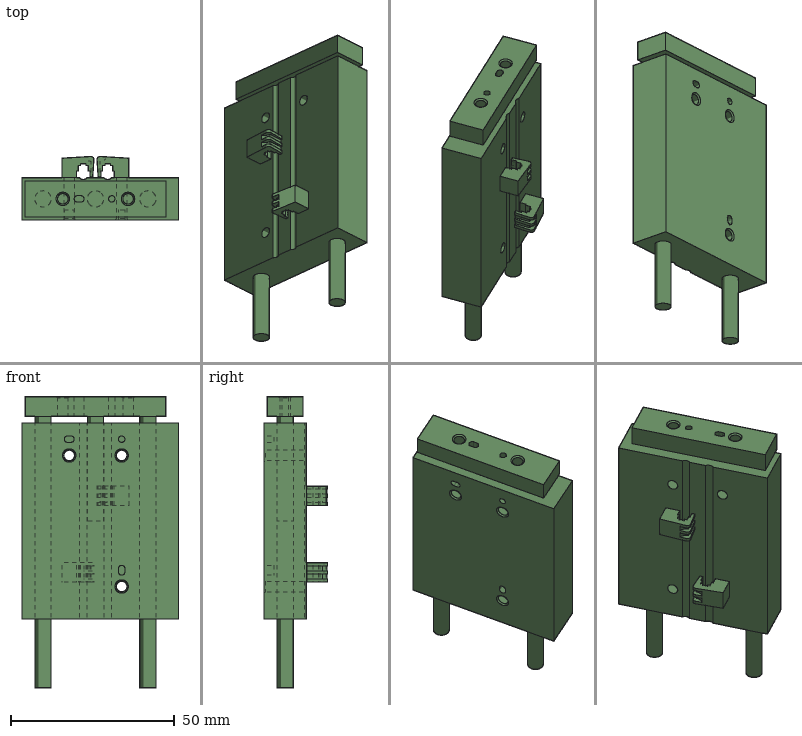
import cadquery as cq


HOUSING_LEFT = 22.5
HOUSING_RIGHT = 25.45
HOUSING_DEPTH = 13.0
HOUSING_HEIGHT = 60.0
BACK_Y = HOUSING_DEPTH / 2
FRONT_Y = -HOUSING_DEPTH / 2

ROD_DIAMETER = 5.0
GUIDE_SPACING = 32.0
GUIDE_PROTRUSION = 21.0
PISTON_INSERTION = 30.0
PLATE_WIDTH = 43.0
PLATE_DEPTH = 11.0
PLATE_THICKNESS = 6.05
OVERALL_HEIGHT = 89.0
PLATE_TOP_Z = OVERALL_HEIGHT - GUIDE_PROTRUSION
PLATE_BOTTOM_Z = PLATE_TOP_Z - PLATE_THICKNESS

SCREW_DIAMETER = 3.2
SCREW_MOUTH_DIAMETER = 4.1
SCREW_CHAMFER = (SCREW_MOUTH_DIAMETER - SCREW_DIAMETER) / 2
DOWEL_DIAMETER = 2.0
DOWEL_SLOT_LENGTH = 3.0
DOWEL_DEPTH = 3.0
PLATE_SCREW_X = 10.0
PLATE_DOWEL_X = PLATE_SCREW_X / 2
HOUSING_SCREW_X = 8.0
SCREW_UPPER_Z = HOUSING_HEIGHT - 10.0
SCREW_LOWER_Z = HOUSING_HEIGHT - 50.0
DOWEL_ABOVE_SCREW = 5.0

CLIP_REACH = 6.5
CLIP_OUTER_HEIGHT = 6.0
CLIP_OUTER_X = 10.2
LIP_FOOT_X = 0.8
LIP_CLEARANCE = 0.2
LIP_NOSE_X = 0.45
LIP_NOSE_HEIGHT = 5.4
LIP_CREST_X = 1.4
TOOTH_WIDTH = 1.0
NOTCH_WIDTH = 1.5
NOTCH_COUNT = 2
CLIP_LENGTH = (NOTCH_COUNT + 1) * TOOTH_WIDTH + NOTCH_COUNT * NOTCH_WIDTH
NOTCH_WALL_X = 1.3
NOTCH_FLOOR_HEIGHT = 5.0
NOTCH_RADIUS = 2.5
RIGHT_CLIP_Z = HOUSING_HEIGHT - 19.3 - CLIP_LENGTH
LEFT_CLIP_Z = HOUSING_HEIGHT - 42.7 - CLIP_LENGTH

CHANNEL_X = 3.7
CHANNEL_WIDTH = 4.0
CHANNEL_SHOULDER = 2.0
CHANNEL_NECK_WIDTH = 3.0
CHANNEL_NECK_TOP = 3.65
CHANNEL_CROWN_WIDTH = 1.6
CHANNEL_TOP = 4.2
GROOVE_DIAMETER = 3.2
GROOVE_DEPTH = 0.5


def rod(x, bottom_z, top_z):
    """Round bar parallel to Z, used for the rods and for their bores."""
    return (
        cq.Workplane("XY", origin=(x, 0, bottom_z))
        .circle(ROD_DIAMETER / 2)
        .extrude(top_z - bottom_z)
    )


def guide_rod(x):
    """Guide rod from below the housing up to the underside of the end plate."""
    return rod(x, -GUIDE_PROTRUSION, PLATE_BOTTOM_Z)


def piston_rod():
    """Short rod from the middle of the housing up to the end plate."""
    return rod(0, HOUSING_HEIGHT - PISTON_INSERTION, PLATE_BOTTOM_Z)


def screw_hole(face, depth):
    """Hole with a chamfered mouth, cut downward from a workplane on the face."""
    bore = face.circle(SCREW_DIAMETER / 2).extrude(-depth)
    mouth = (
        face.circle(SCREW_MOUTH_DIAMETER / 2)
        .workplane(offset=-SCREW_CHAMFER)
        .circle(SCREW_DIAMETER / 2)
        .loft()
    )
    return bore.union(mouth)


def dowel_hole(face, depth):
    return face.circle(DOWEL_DIAMETER / 2).extrude(-depth)


def dowel_slot(face, depth, angle=0):
    return face.slot2D(DOWEL_SLOT_LENGTH, DOWEL_DIAMETER, angle).extrude(-depth)


def make_housing():
    body = cq.Workplane("XY").box(
        HOUSING_LEFT + HOUSING_RIGHT, HOUSING_DEPTH, HOUSING_HEIGHT, centered=(False, True, False)
    )
    body = body.translate((-HOUSING_LEFT, 0, 0))

    for x in (-GUIDE_SPACING / 2, GUIDE_SPACING / 2):
        body = body.cut(guide_rod(x))
    body = body.cut(piston_rod())

    groove_y = BACK_Y - GROOVE_DEPTH + GROOVE_DIAMETER / 2
    for x in (-CHANNEL_X, CHANNEL_X):
        groove = (
            cq.Workplane("XY").center(x, groove_y).circle(GROOVE_DIAMETER / 2).extrude(HOUSING_HEIGHT)
        )
        body = body.cut(groove)

    def front_face(x, z):
        return cq.Workplane("XZ", origin=(x, FRONT_Y, z))

    screw_places = [
        (-HOUSING_SCREW_X, SCREW_UPPER_Z),
        (HOUSING_SCREW_X, SCREW_UPPER_Z),
        (HOUSING_SCREW_X, SCREW_LOWER_Z),
    ]
    for x, z in screw_places:
        body = body.cut(screw_hole(front_face(x, z), HOUSING_DEPTH))

    upper_z = SCREW_UPPER_Z + DOWEL_ABOVE_SCREW
    lower_z = SCREW_LOWER_Z + DOWEL_ABOVE_SCREW
    body = body.cut(dowel_hole(front_face(HOUSING_SCREW_X, upper_z), DOWEL_DEPTH))
    body = body.cut(dowel_slot(front_face(-HOUSING_SCREW_X, upper_z), DOWEL_DEPTH))
    return body.cut(dowel_slot(front_face(HOUSING_SCREW_X, lower_z), DOWEL_DEPTH, angle=90))


def make_plate_with_piston():
    plate = cq.Workplane("XY", origin=(0, 0, PLATE_BOTTOM_Z)).box(
        PLATE_WIDTH, PLATE_DEPTH, PLATE_THICKNESS, centered=(True, True, False)
    )

    def top_face(x):
        return cq.Workplane("XY", origin=(x, 0, PLATE_TOP_Z))

    for x in (-PLATE_SCREW_X, PLATE_SCREW_X):
        plate = plate.cut(screw_hole(top_face(x), PLATE_THICKNESS))
    plate = plate.cut(dowel_hole(top_face(PLATE_DOWEL_X), PLATE_THICKNESS))
    plate = plate.cut(dowel_slot(top_face(-PLATE_DOWEL_X), PLATE_THICKNESS))
    return plate.union(piston_rod())


def clip_notch():
    """Gap between two lip teeth: a flat wall below and a hollow round above."""
    wall = cq.Workplane("XY").rect(NOTCH_WALL_X, CLIP_REACH, centered=False).extrude(NOTCH_WIDTH)
    hollow = (
        cq.Workplane("XY")
        .center(NOTCH_WALL_X, NOTCH_FLOOR_HEIGHT + NOTCH_RADIUS)
        .circle(NOTCH_RADIUS)
        .extrude(NOTCH_WIDTH)
    )
    return wall.union(hollow)


def make_right_clip():
    """Clip standing on Y = 0, with its toothed lip next to X = 0 and just clear of Y = 0."""
    half_channel = CHANNEL_WIDTH / 2
    half_neck = CHANNEL_NECK_WIDTH / 2
    half_crown = CHANNEL_CROWN_WIDTH / 2
    clip = (
        cq.Workplane("XY")
        .moveTo(LIP_FOOT_X, LIP_CLEARANCE)
        .lineTo(LIP_NOSE_X, LIP_NOSE_HEIGHT)
        .tangentArcPoint((LIP_CREST_X, CLIP_REACH), relative=False)
        .lineTo(CLIP_OUTER_X, CLIP_OUTER_HEIGHT)
        .lineTo(CLIP_OUTER_X, 0)
        .lineTo(CHANNEL_X + half_channel, 0)
        .lineTo(CHANNEL_X + half_channel, CHANNEL_SHOULDER)
        .lineTo(CHANNEL_X + half_neck, CHANNEL_SHOULDER)
        .lineTo(CHANNEL_X + half_neck, CHANNEL_NECK_TOP)
        .lineTo(CHANNEL_X + half_crown, CHANNEL_NECK_TOP)
        .lineTo(CHANNEL_X + half_crown, CHANNEL_TOP)
        .lineTo(CHANNEL_X - half_crown, CHANNEL_TOP)
        .lineTo(CHANNEL_X - half_crown, CHANNEL_NECK_TOP)
        .lineTo(CHANNEL_X - half_neck, CHANNEL_NECK_TOP)
        .lineTo(CHANNEL_X - half_neck, CHANNEL_SHOULDER)
        .lineTo(CHANNEL_X - half_channel, CHANNEL_SHOULDER)
        .lineTo(CHANNEL_X - half_channel, LIP_CLEARANCE)
        .close()
        .extrude(CLIP_LENGTH)
    )
    for index in range(NOTCH_COUNT):
        notch_z = TOOTH_WIDTH + index * (TOOTH_WIDTH + NOTCH_WIDTH)
        clip = clip.cut(clip_notch().translate((0, 0, notch_z)))
    return clip


housing = make_housing()
plate_with_piston = make_plate_with_piston()
guide_rods = [guide_rod(x) for x in (-GUIDE_SPACING / 2, GUIDE_SPACING / 2)]
right_clip = make_right_clip().translate((0, BACK_Y, RIGHT_CLIP_Z))
left_clip = make_right_clip().mirror("YZ").translate((0, BACK_Y, LEFT_CLIP_Z))

result = cq.Compound.makeCompound(
    [
        housing.val(),
        plate_with_piston.val(),
        *[guide.val() for guide in guide_rods],
        right_clip.val(),
        left_clip.val(),
    ]
)